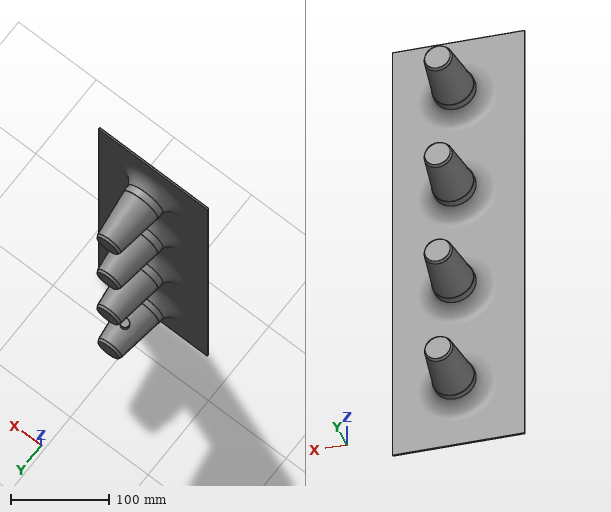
import cadquery as cq
import math

plate_width = 140.0
plate_height = 500.0
plate_thickness = 2.0

peg_count = 4
peg_pitch = 120.0
peg_reach = 77.5
short_peg_reach = 76.0

flare_arc_radius = 21.0
flare_top = 14.5
band_radius = 22.5
band_top = 22.5
short_band_top = 21.0
step_depth = 0.5
tip_radius = 15.0
tip_chamfer_height = 3.0
tip_chamfer_width = 1.5

pin_diameter = 10.0
pin_distance = 48.5
pin_top = 24.0

lowest_peg_z = -peg_pitch * (peg_count - 1) / 2


def make_plate():
    return cq.Workplane("XY").box(
        plate_width, plate_thickness, plate_height, centered=(True, False, True)
    )


def make_peg(reach, cone_start, height):
    """Revolve one solid peg about its own axis, then lift it to its height."""
    arc_centre_y = plate_thickness + flare_arc_radius
    arc_angle = math.acos((arc_centre_y - flare_top) / flare_arc_radius)
    flare_foot_radius = band_radius + flare_arc_radius * math.sin(arc_angle)
    flare_middle = (
        flare_foot_radius - flare_arc_radius * math.sin(arc_angle / 2),
        arc_centre_y - flare_arc_radius * math.cos(arc_angle / 2),
    )
    profile = (
        cq.Workplane("XY")
        .lineTo(flare_foot_radius, 0)
        .lineTo(flare_foot_radius, plate_thickness)
        .threePointArc(flare_middle, (band_radius, flare_top))
        .lineTo(band_radius, cone_start)
        .lineTo(band_radius - step_depth, cone_start)
        .lineTo(tip_radius, reach - tip_chamfer_height)
        .lineTo(tip_radius - tip_chamfer_width, reach)
        .lineTo(0, reach)
        .close()
    )
    return profile.revolve(360, (0, 0), (0, 1)).translate((0, 0, height))


def make_pin():
    return (
        cq.Workplane("XY")
        .center(0, pin_distance)
        .circle(pin_diameter / 2)
        .extrude(pin_top)
        .translate((0, 0, lowest_peg_z))
    )


result = make_plate()
result = result.union(make_peg(short_peg_reach, short_band_top, lowest_peg_z))
for peg_index in range(1, peg_count):
    peg_z = lowest_peg_z + peg_index * peg_pitch
    result = result.union(make_peg(peg_reach, band_top, peg_z))
result = result.union(make_pin())